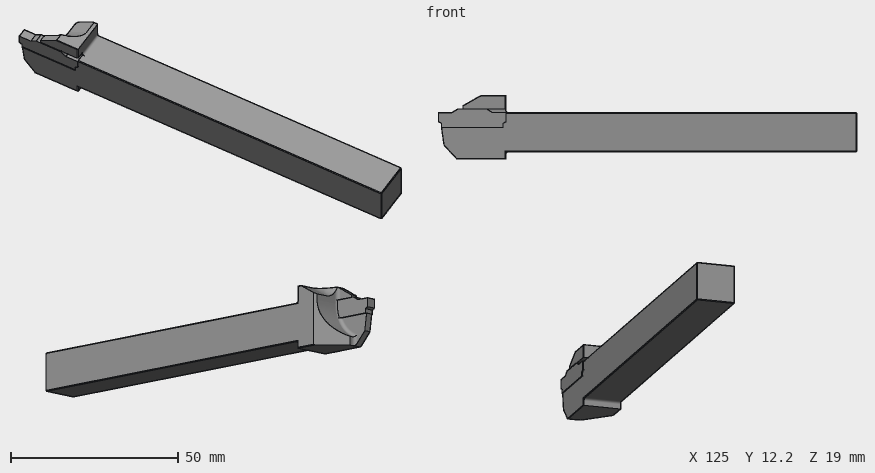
import cadquery as cq
import math

length = 125.0
back_y = 12.2
body_front_y = 0.2
body_width = back_y - body_front_y

shank_bottom = 2.1
shank_top = 13.9
head_back_x = 20.1
head_top = 19.0
step_radius = 0.8
edge_chamfer = 0.2
front_edge_chamfer = 0.1
shank_root_x = head_back_x - edge_chamfer

blade_tip_x = 0.9
blade_heel_x = 1.6
blade_heel_z = 4.1
blade_bevel_end_x = 5.5
blade_back_y = 2.5
jaw_tip_x = 7.2
jaw_tip_z = 15.9
jaw_crest_x = 12.8

relief_radius = 12.2
relief_center_x = 0.5
relief_center_z = 13.8
relief_end_x = 5.8
relief_fillet = 1.1
flank_start_y = 4.5
flank_run = back_y - flank_start_y

trough_start_z = 15.6
trough_end_x = 18.9
trough_flat_y = 7.5
trough_radius = 4.8

insert_width = 3.0
insert_top = 15.0
insert_bottom = 9.4
land_length = 4.0
crest_start_x = 5.9
crest_end_x = head_back_x - crest_start_x
notch_upper_z = 11.1
notch_lower_z = 10.6
margin = 6.2


def extrude_along_y(outline, start_y, end_y):
    """Extrude an XZ outline from start_y to end_y."""
    plane = cq.Workplane("XZ", origin=(0, start_y, 0))
    return plane.polyline(outline).close().extrude(start_y - end_y)


def make_insert():
    """Double-ended cutting insert, symmetric about its mid length."""
    middle_x = head_back_x / 2
    half = [
        (blade_tip_x, insert_bottom),
        (blade_tip_x, notch_lower_z),
        (0, notch_upper_z),
        (0, shank_top),
        (land_length, shank_top),
        (crest_start_x, insert_top),
    ]
    mirrored = [(2 * middle_x - x, z) for x, z in reversed(half)]
    return extrude_along_y(half + mirrored, 0, insert_width)


def make_shank():
    """Square bar with chamfered long edges and end."""
    height = shank_top - shank_bottom
    bar = cq.Workplane("XY").box(length - shank_root_x, body_width, height, centered=False)
    bar = bar.edges("|X").chamfer(edge_chamfer)
    bar = bar.faces(">X").chamfer(edge_chamfer)
    return bar.translate((shank_root_x, body_front_y, shank_bottom))


def make_head():
    """Full-width head, with the side profile of blade and jaw."""
    outline = [
        (blade_bevel_end_x, 0),
        (head_back_x, 0),
        (head_back_x, head_top),
        (jaw_crest_x, head_top),
        (jaw_tip_x, jaw_tip_z),
        (jaw_tip_x, insert_bottom),
        (blade_tip_x, insert_bottom),
        (blade_heel_x, blade_heel_z),
    ]
    head = extrude_along_y(outline, body_front_y, back_y)
    head = head.faces(">X").edges("not |Y").chamfer(edge_chamfer)
    head = head.faces("<Z or >Z").edges("|X and >Y").chamfer(edge_chamfer)
    return head.faces("<Z or >Z").edges("|X and <Y").chamfer(front_edge_chamfer)


def make_step_fillets():
    """Concave fillets where the head steps up and down from the shank."""
    fillets = []
    for shank_z, outward in ((shank_top, 1), (shank_bottom, -1)):
        arc_offset = step_radius * (1 - math.sqrt(0.5))
        fillet = (
            cq.Workplane("XZ", origin=(0, body_front_y + edge_chamfer, 0))
            .moveTo(head_back_x, shank_z)
            .lineTo(head_back_x + step_radius, shank_z)
            .threePointArc(
                (head_back_x + arc_offset, shank_z + outward * arc_offset),
                (head_back_x, shank_z + outward * step_radius),
            )
            .close()
            .extrude(2 * edge_chamfer - body_width)
        )
        fillets.append(fillet)
    return fillets


def make_flank_cut():
    """Vertical 45-degree flank at the back of the head."""
    outline = [
        (relief_end_x - margin, flank_start_y - margin),
        (relief_end_x + flank_run + margin, back_y + margin),
        (relief_end_x - margin, back_y + margin),
    ]
    cut = cq.Workplane("XY").polyline(outline).close().extrude(head_top + margin)
    limit = (
        cq.Workplane("XY")
        .box(2 * length, 2 * margin + body_width, head_top + margin, centered=(True, False, False))
        .translate((0, blade_back_y + relief_fillet, 0))
    )
    return cut.intersect(limit)


def make_relief_cut():
    """Arc-shaped scoop behind the blade, filleted into the blade's back face."""
    ledge_dx = relief_end_x - relief_center_x
    ledge_z = relief_center_z - math.sqrt(relief_radius**2 - ledge_dx**2)
    middle_angle = math.asin(ledge_dx / relief_radius) / 2 + math.pi / 4
    middle = (
        relief_center_x + relief_radius * math.sin(middle_angle),
        relief_center_z - relief_radius * math.cos(middle_angle),
    )
    wall_x = relief_center_x + relief_radius
    cut = (
        cq.Workplane("XZ", origin=(0, blade_back_y, 0))
        .moveTo(-margin, -margin)
        .lineTo(relief_end_x, -margin)
        .lineTo(relief_end_x, ledge_z)
        .threePointArc(middle, (wall_x, relief_center_z))
        .lineTo(wall_x, head_top + margin)
        .lineTo(-margin, head_top + margin)
        .close()
        .extrude(-body_width - margin)
    )
    return cut.faces("<Y").edges().fillet(relief_fillet)


def make_trough_cut():
    """Trough rising toward the shank, flat at the back and concave toward the jaw."""
    run = trough_end_x - jaw_crest_x
    rise = head_top - trough_start_z
    side_y = trough_flat_y - trough_radius
    arc_offset = trough_radius * math.sqrt(0.5)
    trough = (
        cq.Workplane("YZ", origin=(jaw_crest_x - run, 0, 0))
        .moveTo(back_y + margin, trough_start_z - rise)
        .lineTo(trough_flat_y, trough_start_z - rise)
        .threePointArc(
            (trough_flat_y - arc_offset, trough_start_z - rise + trough_radius - arc_offset),
            (side_y, trough_start_z - rise + trough_radius),
        )
        .lineTo(side_y, head_top + margin)
        .lineTo(back_y + margin, head_top + margin)
        .close()
    )
    path = cq.Vector(run, 0, rise) * 3
    return cq.Workplane(cq.Solid.extrudeLinear(trough.val(), [], path))


def make_seat_gap():
    """Open gap between the jaw and the rear land of the insert."""
    gap_end_x = head_back_x + step_radius
    outline = [
        (crest_end_x, shank_top),
        (gap_end_x, shank_top),
        (gap_end_x, insert_top),
        (crest_end_x, insert_top),
    ]
    return extrude_along_y(outline, 0, insert_width)


def make_holder(insert):
    """Tool holder: shank and head in one piece, with the insert seat cut out."""
    holder = make_head().cut(make_flank_cut()).cut(make_relief_cut()).cut(make_trough_cut())
    holder = holder.union(make_shank())
    for fillet in make_step_fillets():
        holder = holder.union(fillet)
    return holder.cut(insert).cut(make_seat_gap())


insert = make_insert()
holder = make_holder(insert)
result = cq.Compound.makeCompound([holder.val(), insert.val()])